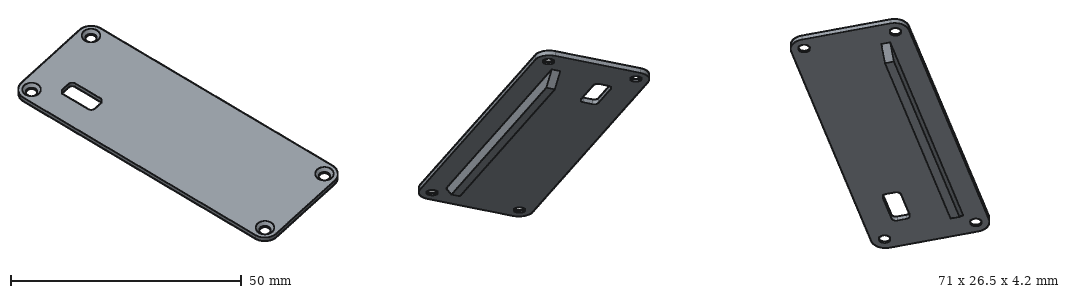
import cadquery as cq

PLATE_LENGTH = 71.0
PLATE_WIDTH = 26.5
PLATE_THICKNESS = 1.2
CORNER_RADIUS = 3.25

HOLE_INSET = 3.0
HOLE_DIAMETER = 2.5
COUNTERSINK_DIAMETER = 4.0
COUNTERSINK_ANGLE = 90.0

WINDOW_LENGTH = 9.0
WINDOW_WIDTH = 4.1
WINDOW_CORNER_RADIUS = 1.0
WINDOW_LEFT_INSET = 8.2
WINDOW_FRONT_INSET = 6.25

RIB_HEIGHT = 3.0
RIB_THICKNESS = 2.0
RIB_END_INSET = 6.0
RIB_BACK_INSET = 5.0


def make_plate():
    return (
        cq.Workplane("XY")
        .rect(PLATE_LENGTH, PLATE_WIDTH)
        .extrude(PLATE_THICKNESS)
        .edges("|Z")
        .fillet(CORNER_RADIUS)
    )


def cut_screw_holes(plate):
    return (
        plate.faces(">Z")
        .workplane(origin=(0, 0, PLATE_THICKNESS))
        .rect(PLATE_LENGTH - 2 * HOLE_INSET, PLATE_WIDTH - 2 * HOLE_INSET, forConstruction=True)
        .vertices()
        .cskHole(HOLE_DIAMETER, COUNTERSINK_DIAMETER, COUNTERSINK_ANGLE)
    )


def make_window_cutter():
    center_x = -PLATE_LENGTH / 2 + WINDOW_LEFT_INSET + WINDOW_LENGTH / 2
    center_y = -PLATE_WIDTH / 2 + WINDOW_FRONT_INSET + WINDOW_WIDTH / 2
    return (
        cq.Workplane("XY")
        .center(center_x, center_y)
        .rect(WINDOW_LENGTH, WINDOW_WIDTH)
        .extrude(PLATE_THICKNESS)
        .edges("|Z")
        .fillet(WINDOW_CORNER_RADIUS)
    )


def make_rib():
    top_half_length = PLATE_LENGTH / 2 - RIB_END_INSET
    bottom_half_length = top_half_length - RIB_HEIGHT
    back_y = PLATE_WIDTH / 2 - RIB_BACK_INSET
    return (
        cq.Workplane("XZ", origin=(0, back_y, 0))
        .moveTo(-top_half_length, 0)
        .lineTo(-bottom_half_length, -RIB_HEIGHT)
        .lineTo(bottom_half_length, -RIB_HEIGHT)
        .lineTo(top_half_length, 0)
        .close()
        .extrude(RIB_THICKNESS)
    )


result = cut_screw_holes(make_plate()).cut(make_window_cutter()).union(make_rib())